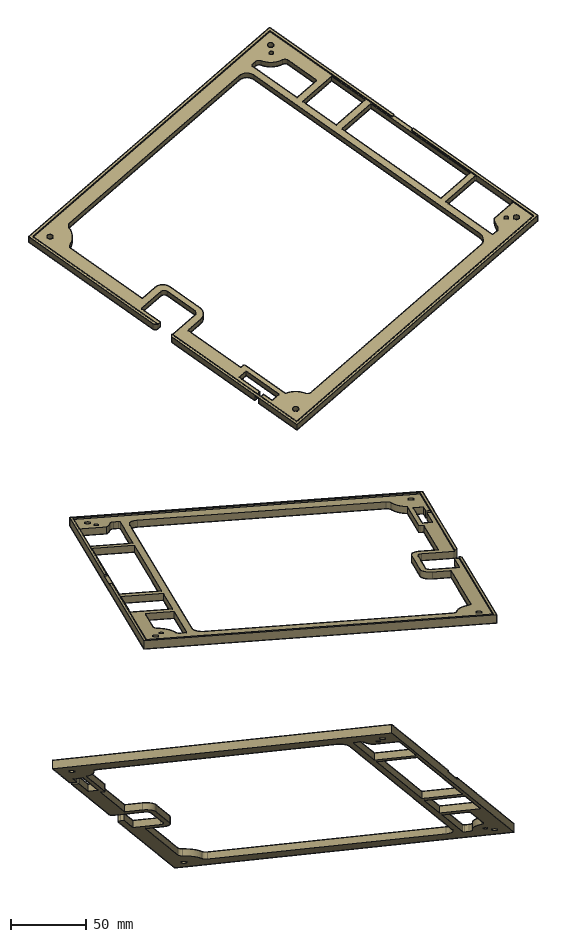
import cadquery as cq
import math

side = 240.0
height = 6.0
lip_height = 1.0
lip_width = 2.0
base_height = height - lip_height
half = side / 2

rail_width = 12.0
beam_width = 5.0
beam_top = half - 31.7
opening_edge = half - rail_width
opening_top_radius = 7.0

screw_offset = 10.0
screw_diameter = 4.0
pilot_offset = 15.0
pilot_diameter = 3.0
pad_radius = 15.0
pad_blend_radius = 3.0
screw_position = half - screw_offset
pilot_position = half - pilot_offset
pad_crossing = screw_position - math.sqrt(pad_radius**2 - (rail_width - screw_offset) ** 2)

small_radius = 1.0
window_top = half - 3.0
pad_window_right = 53.0 - half
square_window_left = 58.0 - half
square_window_right = 88.0 - half
long_window_left = 93.0 - half
long_window_right = half - 58.3
end_window_left = half - 54.0
end_window_top = half - lip_width
end_window_upper_right = half - 20.5

back_notch_width = 17.3

wall_width = 5.0
wall_inner = wall_width - half

loop_center = -8.6
loop_inner_width = 30.2
loop_outer_width = 40.8
loop_inner_top = 27.5 - half
loop_outer_top = 31.7 - half
loop_inner_radius = 3.0
loop_outer_radius = 7.0
gap_width = 13.0
gap_corner_radius = 2.5
loop_inner_left = loop_center - loop_inner_width / 2
loop_inner_right = loop_center + loop_inner_width / 2
gap_left = loop_inner_right - gap_width

shelf_left = half - 61.0
shelf_top = 15.4 - half
slot_left = half - 56.2
slot_right = half - 26.6
slit_left = half - 37.7
slit_right = half - 34.3


def block(x_min, x_max, y_min, y_max, z_max=height):
    """Upright block standing on Z = 0."""
    size = (x_max - x_min, y_max - y_min, z_max)
    return cq.Workplane("XY").box(*size, centered=False).translate((x_min, y_min, 0))


def round_corners(body, radius, points):
    """Fillet the vertical edge nearest to each (x, y) point."""
    for x, y in points:
        nearest = cq.NearestToPointSelector((x, y, height / 2))
        body = body.edges("|Z").edges(nearest).fillet(radius)
    return body


def cylinders(diameter, points):
    """Full-height cylinders at the given (x, y) points."""
    return cq.Workplane("XY").pushPoints(points).circle(diameter / 2).extrude(height)


back_screws = [(-screw_position, screw_position), (screw_position, screw_position)]
front_screws = [(-screw_position, -screw_position), (screw_position, -screw_position)]
pilots = [(-pilot_position, pilot_position), (pilot_position, pilot_position)]
pads = cylinders(2 * pad_radius, back_screws + front_screws)


def lipped_plate():
    """Square plate with a low lip around its rim, notched at the middle of the back."""
    recess_edge = half - lip_width
    recess = block(-recess_edge, recess_edge, -recess_edge, recess_edge)
    notch = block(-back_notch_width / 2, back_notch_width / 2, 0, half)
    lip_cut = recess.union(notch).translate((0, 0, base_height))
    return block(-half, half, -half, half).cut(lip_cut)


def main_opening():
    """Large opening, leaving the pads, the loop and the shelf standing."""
    opening_top = beam_top - beam_width
    loop_left = loop_center - loop_outer_width / 2
    loop_right = loop_center + loop_outer_width / 2
    loop = block(loop_left, loop_right, -half, loop_outer_top)
    loop_corners = [(loop_left, loop_outer_top), (loop_right, loop_outer_top)]
    loop = round_corners(loop, loop_outer_radius, loop_corners)

    shelf = block(shelf_left, screw_position, -half, shelf_top)
    shelf = round_corners(shelf, small_radius, [(shelf_left, shelf_top)])

    opening = block(-opening_edge, opening_edge, -opening_edge, opening_top)
    top_corners = [(-opening_edge, opening_top), (opening_edge, opening_top)]
    opening = round_corners(opening, opening_top_radius, top_corners)
    opening = opening.cut(pads).cut(loop).cut(shelf)
    pad_corners = [
        (-opening_edge, -pad_crossing),
        (-pad_crossing, -opening_edge),
        (opening_edge, -pad_crossing),
    ]
    return round_corners(opening, pad_blend_radius, pad_corners)


def pad_window():
    """Back left window, bounded by the corner pad."""
    window = block(-opening_edge, pad_window_right, beam_top, opening_edge).cut(pads)
    pad_corners = [(-opening_edge, pad_crossing), (-pad_crossing, opening_edge)]
    window = round_corners(window, pad_blend_radius, pad_corners)
    small_corners = [(-opening_edge, beam_top), (pad_window_right, opening_edge)]
    return round_corners(window, small_radius, small_corners)


def end_window():
    """Back right window, stepping outward below the corner pad."""
    upper = block(end_window_left, end_window_upper_right, beam_top, end_window_top)
    lower = block(end_window_left, opening_edge, beam_top, screw_position).cut(pads)
    window = upper.union(lower)
    window = round_corners(window, pad_blend_radius, [(opening_edge, pad_crossing)])
    small_corners = [
        (opening_edge, beam_top),
        (end_window_left, end_window_top),
        (end_window_upper_right, end_window_top),
    ]
    return round_corners(window, small_radius, small_corners)


def loop_opening():
    """Space inside the loop, with the gap through the front wall."""
    inside = block(loop_inner_left, loop_inner_right, wall_inner, loop_inner_top)
    corners = [(loop_inner_left, loop_inner_top), (loop_inner_right, loop_inner_top)]
    inside = round_corners(inside, loop_inner_radius, corners)
    gap = block(gap_left, loop_inner_right, -half, wall_inner)
    return inside.union(gap)


def shelf_slot():
    """Slot through the shelf, with a slit out of the front wall below the lip."""
    slot = block(slot_left, slot_right, wall_inner, -opening_edge)
    slit = block(slit_left, slit_right, -half, wall_inner, base_height)
    return slot.union(slit)


gap_corners = [(gap_left, -half), (loop_inner_right, -half)]

frame = lipped_plate()
frame = frame.cut(main_opening())
frame = frame.cut(pad_window())
frame = frame.cut(block(square_window_left, square_window_right, beam_top, window_top))
frame = frame.cut(block(long_window_left, long_window_right, beam_top, window_top))
frame = frame.cut(end_window())
frame = frame.cut(loop_opening())
frame = round_corners(frame, gap_corner_radius, gap_corners)
frame = frame.cut(shelf_slot())
frame = frame.cut(cylinders(screw_diameter, back_screws + front_screws))
result = frame.cut(cylinders(pilot_diameter, pilots))